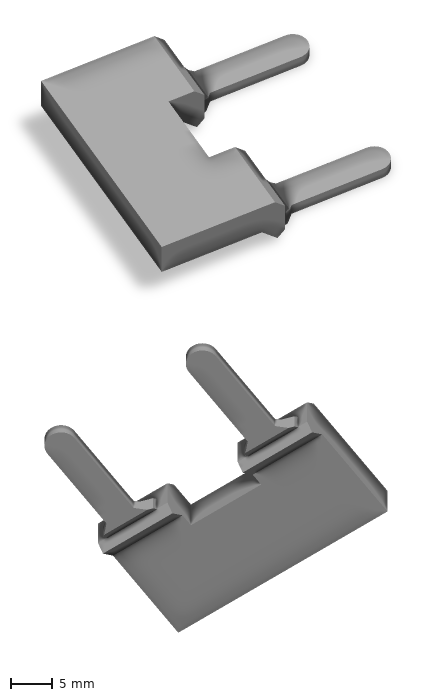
import cadquery as cq
import math

WIDTH = 31.0
LENGTH = 34.0
HEIGHT = 7.0

BODY_LENGTH = 17.0
PLATE_THICKNESS = 4.5
LEG_WIDTH = 10.3
NOTCH_START = 12.05
TOP_CHAMFER = 1.4
HOOK_BOTTOM = 0.37
HOOK_SETBACK = 1.05

PIN_SPACING = 20.95
PIN_WIDTH = 4.0
PIN_THICKNESS = 1.55
FLARE_WIDTH = 7.4
FLARE_END = 19.5
BEND_TOP = 18.97
PIN_EMBED = 0.68


def make_body():
    """U-shaped plate with a 45 degree hook under the end of each leg."""
    plate_bottom = HEIGHT - PLATE_THICKNESS
    hook_tip = BODY_LENGTH - HOOK_SETBACK
    hook_root = hook_tip - (plate_bottom - HOOK_BOTTOM)
    side_outline = [
        (0, plate_bottom),
        (hook_root, plate_bottom),
        (hook_tip, HOOK_BOTTOM),
        (BODY_LENGTH, HOOK_BOTTOM + HOOK_SETBACK),
        (BODY_LENGTH, HEIGHT - TOP_CHAMFER),
        (BODY_LENGTH - TOP_CHAMFER, HEIGHT),
        (0, HEIGHT),
    ]
    body = cq.Workplane("YZ").polyline(side_outline).close().extrude(WIDTH / 2, both=True)
    notch = cq.Workplane("XY").box(
        WIDTH - 2 * LEG_WIDTH, BODY_LENGTH - NOTCH_START, HEIGHT, centered=(True, False, False)
    ).translate((0, NOTCH_START, 0))
    return body.cut(notch)


def make_pin(center_x):
    """Bent strip trimmed to a round-ended outline that flares at the body."""
    root = BODY_LENGTH - PIN_EMBED
    bend_bottom = BEND_TOP - PIN_THICKNESS * math.tan(math.radians(22.5))
    bent_section = [
        (LENGTH, 0),
        (LENGTH, PIN_THICKNESS),
        (BEND_TOP, PIN_THICKNESS),
        (root, PIN_THICKNESS + BEND_TOP - root),
        (root, bend_bottom - root),
        (bend_bottom, 0),
    ]
    strip = cq.Workplane("YZ").polyline(bent_section).close().extrude(FLARE_WIDTH / 2, both=True)

    radius = PIN_WIDTH / 2
    half_flare = FLARE_WIDTH / 2
    flare_start = FLARE_END - (half_flare - radius)
    outline = (
        cq.Workplane("XY")
        .moveTo(-half_flare, root)
        .lineTo(-half_flare, flare_start)
        .lineTo(-radius, FLARE_END)
        .lineTo(-radius, LENGTH - radius)
        .threePointArc((0, LENGTH), (radius, LENGTH - radius))
        .lineTo(radius, FLARE_END)
        .lineTo(half_flare, flare_start)
        .lineTo(half_flare, root)
        .close()
        .extrude(HEIGHT)
    )
    return strip.intersect(outline).translate((center_x, 0, 0))


result = make_body()
for side in (-1, 1):
    result = result.union(make_pin(side * PIN_SPACING / 2))